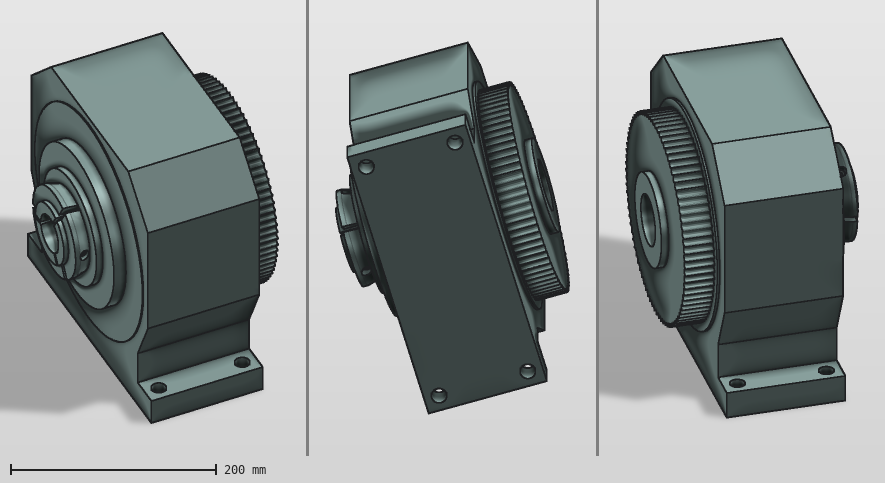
import cadquery as cq
import math


HOUSING_DEPTH = 120.0
HOUSING_HEIGHT = 280.0
HOUSING_WIDTH = 264.0
TOP_CHAMFER = 44.5
AXIS_HEIGHT = 150.0
SIDE_BOTTOM_HEIGHT = 114.0
NECK_WIDTH = 218.0
NECK_TOP_HEIGHT = 65.0
FOOT_WIDTH = 280.0
FOOT_HEIGHT = 28.0
FOOT_HOLE_DIAMETER = 15.0
FOOT_HOLE_EDGE_DISTANCE = 15.0
FRONT_PAD_DIAMETER = 244.0
FRONT_PAD_THICKNESS = 1.2
REAR_PAD_DIAMETER = 230.0
REAR_PAD_THICKNESS = 2.5

TOOTH_COUNT = 84
PULLEY_DIAMETER = 212.5
PULLEY_WIDTH = 30.0
GROOVE_RADIUS = 3.3
GROOVE_DEPTH = 3.45

SPINDLE_DIAMETER = 95.0
SPINDLE_REAR_OVERHANG = 7.5
FLANGE_DIAMETER = 170.0
FLANGE_THICKNESS = 13.0
NOSE_DIAMETER = 120.0
NOSE_THICKNESS = 7.0
SPINDLE_BORE_DIAMETER = 52.0
TAIL_BORE_DIAMETER = 60.4

JAW_COUNT = 3
JAW_BORE_DIAMETER = 40.0
JAW_FACE_DIAMETER = 65.0
JAW_FACE_THICKNESS = 5.0
RIM_DIAMETER = 97.0
RIM_THICKNESS = 5.0
EXPOSED_CONE_LENGTH = 12.0
CONE_HALF_ANGLE = 15.0
CONE_END_DIAMETER = 81.4
TAIL_LENGTH = 40.0
WIDE_GAP = 5.5
NARROW_GAP = 3.2
SCREW_HOLE_DIAMETER = 5.5
SCREW_HEAD_DIAMETER = 10.5
SCREW_HEAD_SEAT_RADIUS = 40.5
SCREW_HOLE_END_RADIUS = 28.0
SCREW_DISTANCE_FROM_NOSE = 6.5
SCREW_ANGLE_OFFSET = 3.0
JAW_PITCH_ANGLE = 360.0 / JAW_COUNT

REAR_PAD_FACE = HOUSING_DEPTH + REAR_PAD_THICKNESS
PULLEY_REAR = REAR_PAD_FACE + PULLEY_WIDTH
SPINDLE_REAR = PULLEY_REAR + SPINDLE_REAR_OVERHANG
FRONT_PAD_FACE = -FRONT_PAD_THICKNESS
FLANGE_FACE = FRONT_PAD_FACE - FLANGE_THICKNESS
NOSE_FACE = FLANGE_FACE - NOSE_THICKNESS
RIM_REAR = NOSE_FACE - EXPOSED_CONE_LENGTH
RIM_FACE = RIM_REAR - RIM_THICKNESS
JAW_FACE = RIM_FACE - JAW_FACE_THICKNESS
CONE_SLOPE = math.tan(math.radians(CONE_HALF_ANGLE))
CONE_END = RIM_REAR + (RIM_DIAMETER - CONE_END_DIAMETER) / 2 / CONE_SLOPE
TAIL_END = CONE_END + TAIL_LENGTH
SCREW_STATION = NOSE_FACE - SCREW_DISTANCE_FROM_NOSE


def cylinder(diameter, start, end):
    """Solid cylinder on the spindle axis between two Y stations."""
    plane = cq.Plane(origin=(0, start, AXIS_HEIGHT), xDir=(1, 0, 0), normal=(0, 1, 0))
    return cq.Workplane(plane).circle(diameter / 2).extrude(end - start)


def turn(body, angle):
    """Rotate a body about the spindle axis, counter-clockwise when seen from the front."""
    return body.rotate((0, 0, AXIS_HEIGHT), (0, -1, AXIS_HEIGHT), angle)


def jaw_cone():
    """Cone shared by the jaws and their seat, narrowing toward the rear."""
    return (
        cq.Workplane("XY", origin=(0, 0, AXIS_HEIGHT))
        .moveTo(0, RIM_REAR)
        .lineTo(RIM_DIAMETER / 2, RIM_REAR)
        .lineTo(CONE_END_DIAMETER / 2, CONE_END)
        .lineTo(0, CONE_END)
        .close()
        .revolve(360, (0, 0, 0), (0, 1, 0))
    )


def make_housing():
    right_side = [
        (FOOT_WIDTH / 2, 0),
        (FOOT_WIDTH / 2, FOOT_HEIGHT),
        (NECK_WIDTH / 2, FOOT_HEIGHT),
        (NECK_WIDTH / 2, NECK_TOP_HEIGHT),
        (HOUSING_WIDTH / 2, SIDE_BOTTOM_HEIGHT),
        (HOUSING_WIDTH / 2, HOUSING_HEIGHT - TOP_CHAMFER),
        (HOUSING_WIDTH / 2 - TOP_CHAMFER, HOUSING_HEIGHT),
    ]
    left_side = [(-x, z) for x, z in reversed(right_side)]
    block = cq.Workplane("XZ").polyline(right_side + left_side).close().extrude(-HOUSING_DEPTH)
    foot_holes = (
        cq.Workplane("XY", origin=(0, HOUSING_DEPTH / 2, 0))
        .rect(
            FOOT_WIDTH - 2 * FOOT_HOLE_EDGE_DISTANCE,
            HOUSING_DEPTH - 2 * FOOT_HOLE_EDGE_DISTANCE,
            forConstruction=True,
        )
        .vertices()
        .circle(FOOT_HOLE_DIAMETER / 2)
        .extrude(FOOT_HEIGHT)
    )
    return (
        block.cut(foot_holes)
        .union(cylinder(FRONT_PAD_DIAMETER, FRONT_PAD_FACE, 0))
        .union(cylinder(REAR_PAD_DIAMETER, HOUSING_DEPTH, REAR_PAD_FACE))
        .cut(cylinder(SPINDLE_DIAMETER, FRONT_PAD_FACE, REAR_PAD_FACE))
    )


def polar(radius, angle):
    """Point at a radius and an angle in radians."""
    return (radius * math.cos(angle), radius * math.sin(angle))


def toothed_outline():
    """Closed pulley outline: round grooves joined by round tooth tips, each arc tangent to the next."""
    outer_radius = PULLEY_DIAMETER / 2
    groove_bottom = outer_radius - GROOVE_DEPTH
    groove_centre = groove_bottom + GROOVE_RADIUS
    pitch = 2 * math.pi / TOOTH_COUNT
    half_pitch_cos = math.cos(pitch / 2)

    tip_radius = (
        groove_centre**2
        + outer_radius**2
        - 2 * groove_centre * outer_radius * half_pitch_cos
        - GROOVE_RADIUS**2
    ) / (2 * (outer_radius + GROOVE_RADIUS - groove_centre * half_pitch_cos))

    tip_x, tip_y = polar(outer_radius - tip_radius, pitch / 2)
    share = GROOVE_RADIUS / (GROOVE_RADIUS + tip_radius)
    joint_x = groove_centre + share * (tip_x - groove_centre)
    joint_y = share * tip_y
    joint_radius = math.hypot(joint_x, joint_y)
    joint_angle = math.atan2(joint_y, joint_x)

    plane = cq.Plane(origin=(0, REAR_PAD_FACE, AXIS_HEIGHT), xDir=(1, 0, 0), normal=(0, 1, 0))
    outline = cq.Workplane(plane).moveTo(*polar(joint_radius, -joint_angle))
    for tooth in range(TOOTH_COUNT):
        angle = tooth * pitch
        outline = outline.threePointArc(
            polar(groove_bottom, angle),
            polar(joint_radius, angle + joint_angle),
        )
        outline = outline.threePointArc(
            polar(outer_radius, angle + pitch / 2),
            polar(joint_radius, angle + pitch - joint_angle),
        )
    return outline.close()


def make_pulley():
    """Toothed ring seated on the spindle behind the housing."""
    ring = toothed_outline().extrude(PULLEY_WIDTH)
    return ring.cut(cylinder(SPINDLE_DIAMETER, REAR_PAD_FACE, PULLEY_REAR))


def make_spindle():
    """Hollow spindle with the flange, the nose and the conical seat of the jaws."""
    return (
        cylinder(SPINDLE_DIAMETER, FRONT_PAD_FACE, SPINDLE_REAR)
        .union(cylinder(FLANGE_DIAMETER, FLANGE_FACE, FRONT_PAD_FACE))
        .union(cylinder(NOSE_DIAMETER, NOSE_FACE, FLANGE_FACE))
        .cut(jaw_cone())
        .cut(cylinder(TAIL_BORE_DIAMETER, CONE_END, TAIL_END))
        .cut(cylinder(SPINDLE_BORE_DIAMETER, TAIL_END, SPINDLE_REAR))
    )


def jaw_sector(gap):
    """Cutting prism for one third of the jaw ring, leaving a parallel gap before the next third.

    It starts `gap` beyond the radial plane at 0 degrees and ends on the radial plane at 120 degrees.
    """
    reach = RIM_DIAMETER
    end_angle = math.radians(JAW_PITCH_ANGLE)
    corner_x = gap / math.tan(end_angle)
    sector = (
        cq.Workplane("XZ", origin=(0, JAW_FACE, AXIS_HEIGHT))
        .moveTo(corner_x, gap)
        .lineTo(reach, gap)
        .lineTo(reach, reach)
        .lineTo(reach * math.cos(end_angle), reach)
        .lineTo(reach * math.cos(end_angle), reach * math.sin(end_angle))
        .close()
    )
    return sector.extrude(JAW_FACE - TAIL_END)


def screw_hole():
    """Radial screw hole with a head recess, through the middle of the jaw's cone."""
    plane = cq.Plane(
        origin=(0, SCREW_STATION, AXIS_HEIGHT),
        xDir=(0, 1, 0),
        normal=(1, 0, 0),
    )
    shank = (
        cq.Workplane(plane)
        .workplane(offset=SCREW_HOLE_END_RADIUS)
        .circle(SCREW_HOLE_DIAMETER / 2)
        .extrude(RIM_DIAMETER / 2 - SCREW_HOLE_END_RADIUS)
    )
    head = (
        cq.Workplane(plane)
        .workplane(offset=SCREW_HEAD_SEAT_RADIUS)
        .circle(SCREW_HEAD_DIAMETER / 2)
        .extrude(RIM_DIAMETER / 2 - SCREW_HEAD_SEAT_RADIUS)
    )
    return turn(shank.union(head), JAW_PITCH_ANGLE / 2 + SCREW_ANGLE_OFFSET)


def make_jaw():
    """One jaw: a slim core around the bore, and an outer part with wider gaps at its sides."""
    collar = jaw_cone().union(cylinder(RIM_DIAMETER, RIM_FACE, RIM_REAR))
    core = cylinder(JAW_FACE_DIAMETER, JAW_FACE, CONE_END)
    tail = cylinder(TAIL_BORE_DIAMETER, CONE_END, TAIL_END)
    return (
        collar.intersect(jaw_sector(WIDE_GAP))
        .union(core.union(tail).intersect(jaw_sector(NARROW_GAP)))
        .cut(cylinder(JAW_BORE_DIAMETER, JAW_FACE, TAIL_END))
        .cut(screw_hole())
    )


housing = make_housing()
pulley = make_pulley()
spindle = make_spindle()
jaws = [turn(make_jaw(), (i + 0.5) * JAW_PITCH_ANGLE) for i in range(JAW_COUNT)]

result = cq.Compound.makeCompound(
    [housing.val(), pulley.val(), spindle.val(), *[jaw.val() for jaw in jaws]]
)